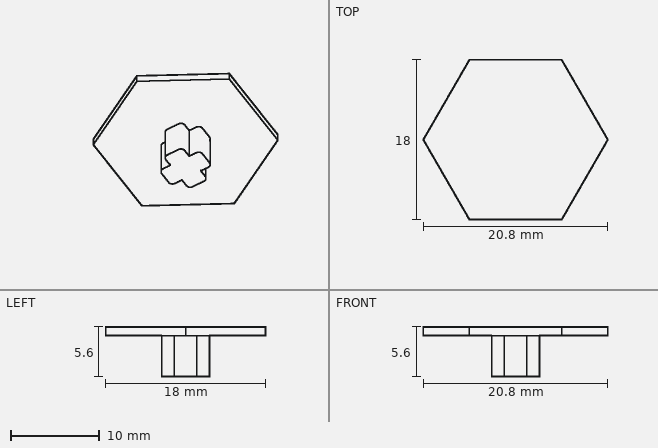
import cadquery as cq
import math

across_flats = 18.0
plate_thickness = 1.0
hexagon_sides = 6
across_corners = across_flats / math.cos(math.pi / hexagon_sides)

post_height = 4.6
post_span = 5.4
arm_width = 2.5
arm_corner_radius = 0.5


def make_plate():
    """Regular hexagon with two corners on the X axis, standing on Z = 0."""
    return cq.Workplane("XY").polygon(hexagon_sides, across_corners).extrude(plate_thickness)


def make_arm(length_x, length_y):
    """One bar of the cross, with its four upright corners rounded."""
    return (
        cq.Workplane("XY")
        .rect(length_x, length_y)
        .extrude(-post_height)
        .edges("|Z")
        .fillet(arm_corner_radius)
    )


def make_post():
    """Two equal bars crossing at the plate centre."""
    return make_arm(post_span, arm_width).union(make_arm(arm_width, post_span))


result = make_plate().union(make_post())